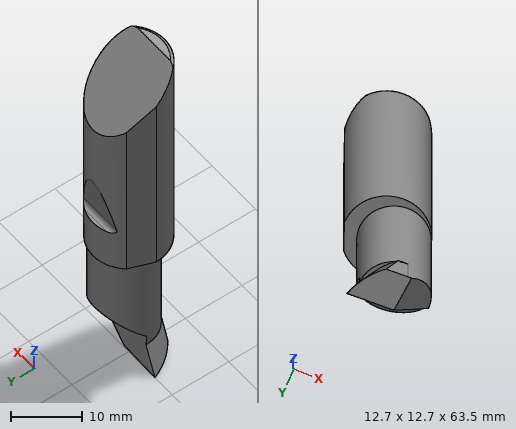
import cadquery as cq
import math

total_height = 63.5
shank_radius = 6.35
shank_bottom = 25.4
top_chamfer_width = 0.5
top_chamfer_height = 0.3
top_land_y = -4.45
flat_end_y = 4.1

notch_bottom = 32.6
notch_top = 41.4
notch_deepest_z = 33.2
notch_depth = 1.35
notch_fillet = 0.75

neck_radius = 5.24
neck_center_x = shank_radius - neck_radius
relief_bottom = 7.2

tooth_top = 5.45
tooth_top_left_x = -3.9
tooth_front_left_x = -0.3
tooth_arc_mid = (-2.55, -2.85)
tooth_tip_x = -6.0
end_rise_along_x = 0.05
end_rise_toward_front = 0.1

margin = 3.2
reach = shank_radius + margin


def side_prism(points):
    """Prism across the whole width in X, from (Y, Z) points."""
    return cq.Workplane("YZ").polyline(points).close().extrude(reach, both=True)


def make_shank():
    shank = (
        cq.Workplane("XY").workplane(offset=shank_bottom)
        .circle(shank_radius).extrude(total_height - shank_bottom)
        .faces(">Z").edges().chamfer(top_chamfer_height, top_chamfer_width)
    )
    bevel_run = reach - top_land_y
    bevel = side_prism([
        (top_land_y - margin, total_height + margin),
        (reach, total_height - bevel_run),
        (reach, total_height + margin),
    ])
    flat_end_x = -math.sqrt(shank_radius**2 - flat_end_y**2)
    side_flat = (
        cq.Workplane("XY").workplane(offset=shank_bottom)
        .polyline([(-shank_radius, 0), (flat_end_x, flat_end_y), (-reach, flat_end_y), (-reach, 0)])
        .close().extrude(total_height - shank_bottom)
    )
    return shank.cut(bevel).cut(side_flat).cut(make_notch())


def make_notch():
    floor_y = shank_radius - notch_depth
    ramp_slope = notch_depth / (notch_top - notch_deepest_z)
    notch = side_prism([
        (floor_y - ramp_slope * (notch_deepest_z - notch_bottom), notch_bottom),
        (shank_radius + margin * ramp_slope, notch_top + margin),
        (reach, notch_top + margin),
        (reach, notch_bottom),
    ])
    return notch.edges("|X and <Y").fillet(notch_fillet)


def make_neck():
    neck = cq.Workplane("XY").center(neck_center_x, 0).circle(neck_radius).extrude(shank_bottom)
    back_relief = side_prism([
        (0, -margin),
        (0, relief_bottom),
        (reach, relief_bottom + reach),
        (reach, -margin),
    ])
    tooth_space = cq.Workplane("XY").box(
        reach, 2 * reach, tooth_top + margin, centered=(False, True, False)
    ).translate((neck_center_x - reach, 0, -margin))
    return neck.cut(back_relief).cut(tooth_space)


def tooth_profile(z, shift):
    """Half-section of the tooth at one height, moved along X by shift."""
    mid_x, mid_y = tooth_arc_mid
    return (
        cq.Workplane("XY").workplane(offset=z)
        .moveTo(tooth_top_left_x + shift, 0)
        .threePointArc((mid_x + shift, mid_y), (tooth_front_left_x + shift, -neck_radius))
        .lineTo(neck_center_x, -neck_radius)
        .lineTo(neck_center_x, 0)
        .close().wires().val()
    )


def make_tooth():
    lower_shift = tooth_tip_x - tooth_top_left_x
    return cq.Workplane(cq.Solid.makeLoft(
        [tooth_profile(0, lower_shift), tooth_profile(tooth_top, 0)], True
    ))


def make_end_bevel():
    """Wedge giving the 45 degree corner on the +X side of the neck end."""
    return (
        cq.Workplane("XZ")
        .polyline([
            (neck_center_x - margin, -margin),
            (neck_center_x + reach, reach),
            (neck_center_x + reach, -margin),
        ])
        .close().extrude(reach, both=True)
        .translate((0, 0, end_bevel_z))
    )


def make_end_clearance():
    """Half-space block under the sloping end face."""
    end_plane = cq.Plane(
        origin=(tooth_tip_x, 0, 0),
        xDir=(1, 0, end_rise_along_x),
        normal=(-end_rise_along_x, end_rise_toward_front, 1),
    )
    return cq.Workplane(end_plane).rect(4 * reach, 4 * reach).extrude(-margin)


end_bevel_z = end_rise_along_x * (neck_center_x - tooth_tip_x)

cutting_end = make_neck().union(make_tooth()).cut(make_end_bevel()).cut(make_end_clearance())
result = make_shank().union(cutting_end)